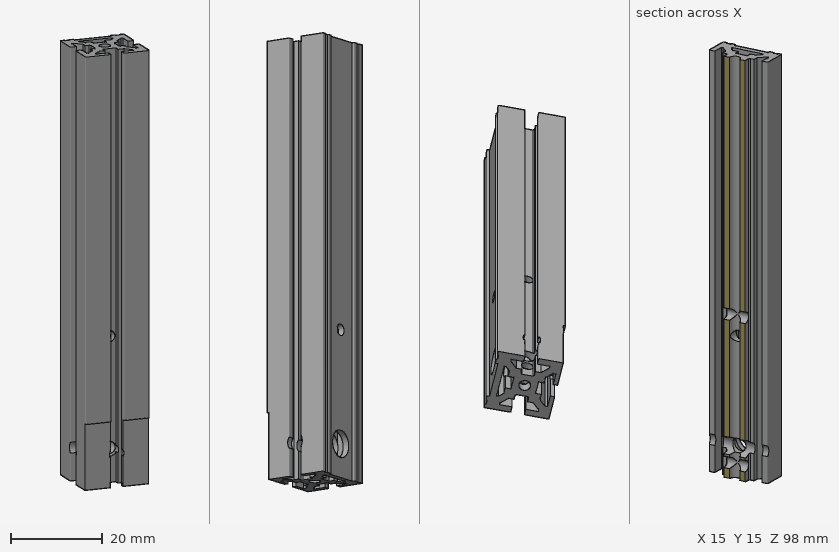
import cadquery as cq

length = 98.0
width = 15.0
edge_radius = 0.2
half_width = width / 2

lip_thickness = 1.5
slot_width = 3.0
slot_half_width = slot_width / 2
cavity_half_width = 4.3
x_web_half_width = 2.9
y_web_half_width = 2.7
web_step_distance = 4.0
floor_distance = 2.7
floor_chamfer = 0.3
bore_diameter = 2.5

recess_depth = 0.6
recess_width = 8.6
chamber_half_width = 3.9
groove_offset = 6.0
groove_width = 1.0
groove_depth = 0.3

relief_height = 15.0
relief_depth = 0.5

pilot_diameter = 2.5
lower_pilot_height = 3.6
upper_pilot_height = 38.1
side_pilot_height = 33.0
screw_height = 7.5
screw_y_diameter = 3.9
screw_x_diameter = 3.3
access_diameter = 6.1


def prism(points):
    """Full-length prism on a closed cross-section outline."""
    return cq.Workplane("XY").polyline(points).close().extrude(length)


def mirrored(half_outline):
    """Complete an outline that is symmetric about the X axis."""
    return half_outline + [(x, -y) for x, y in reversed(half_outline)]


def pocket_outline(web_half_width, end_half_width, corner_chamfer):
    """Half outline of a stepped pocket facing +X, ending in a 45 degree flank."""
    if corner_chamfer:
        floor = [
            (floor_distance, slot_half_width - corner_chamfer),
            (floor_distance + corner_chamfer, slot_half_width),
        ]
    else:
        floor = [(floor_distance, slot_half_width)]
    flank_size = end_half_width - web_half_width
    return floor + [
        (web_step_distance, slot_half_width),
        (web_step_distance, web_half_width),
        (web_step_distance + flank_size, end_half_width),
    ]


def open_slot(angle, web_half_width, corner_chamfer=0):
    """T-slot facing +X, turned about the extrusion axis by the angle."""
    lip_inside = half_width - lip_thickness
    half_outline = pocket_outline(web_half_width, cavity_half_width, corner_chamfer) + [
        (lip_inside, cavity_half_width),
        (lip_inside, slot_half_width),
        (half_width, slot_half_width),
    ]
    return prism(mirrored(half_outline)).rotate((0, 0, 0), (0, 0, 1), angle)


def closed_chamber():
    """Closed chamber behind the recessed -X wall."""
    wall_inside = half_width - recess_depth - lip_thickness
    half_outline = pocket_outline(x_web_half_width, chamber_half_width, 0) + [
        (wall_inside, chamber_half_width),
    ]
    return prism(mirrored(half_outline)).rotate((0, 0, 0), (0, 0, 1), 180)


def side_channel(y, channel_width, depth):
    """Full-length rectangular channel in the -X face, centred at y."""
    return cq.Workplane("XY").center(-half_width, y).rect(2 * depth, channel_width).extrude(length)


def cross_hole(plane, height, diameter, depth):
    """Hole across the bar, entering on the -Y ("XZ") or -X ("YZ") side at the given height."""
    inward = -depth if plane == "XZ" else depth
    entry = half_width if plane == "XZ" else -half_width
    return (
        cq.Workplane(plane)
        .workplane(offset=entry)
        .center(0, height)
        .circle(diameter / 2)
        .extrude(inward)
    )


result = cq.Workplane("XY").rect(width, width).extrude(length)
result = result.cut(open_slot(0, x_web_half_width))
for slot_angle in (90, -90):
    result = result.cut(open_slot(slot_angle, y_web_half_width, floor_chamfer))
result = result.cut(side_channel(0, recess_width, recess_depth))
for side in (-1, 1):
    result = result.cut(side_channel(side * groove_offset, groove_width, groove_depth))

result = result.edges("|Z and (<X or >X or <Y or >Y)").fillet(edge_radius)

result = result.cut(closed_chamber())
result = result.cut(cq.Workplane("XY").circle(bore_diameter / 2).extrude(length))

relief = cq.Workplane("XY").rect(2 * relief_depth, width).extrude(relief_height)
result = result.cut(relief.translate((half_width, 0, 0)))

for hole_height, hole_diameter in (
    (lower_pilot_height, pilot_diameter),
    (screw_height, screw_y_diameter),
    (upper_pilot_height, pilot_diameter),
):
    result = result.cut(cross_hole("XZ", hole_height, hole_diameter, width))

for hole_height, hole_diameter in (
    (screw_height, screw_x_diameter),
    (side_pilot_height, pilot_diameter),
):
    result = result.cut(cross_hole("YZ", hole_height, hole_diameter, width))
access_depth = half_width - floor_distance
result = result.cut(cross_hole("YZ", screw_height, access_diameter, access_depth))